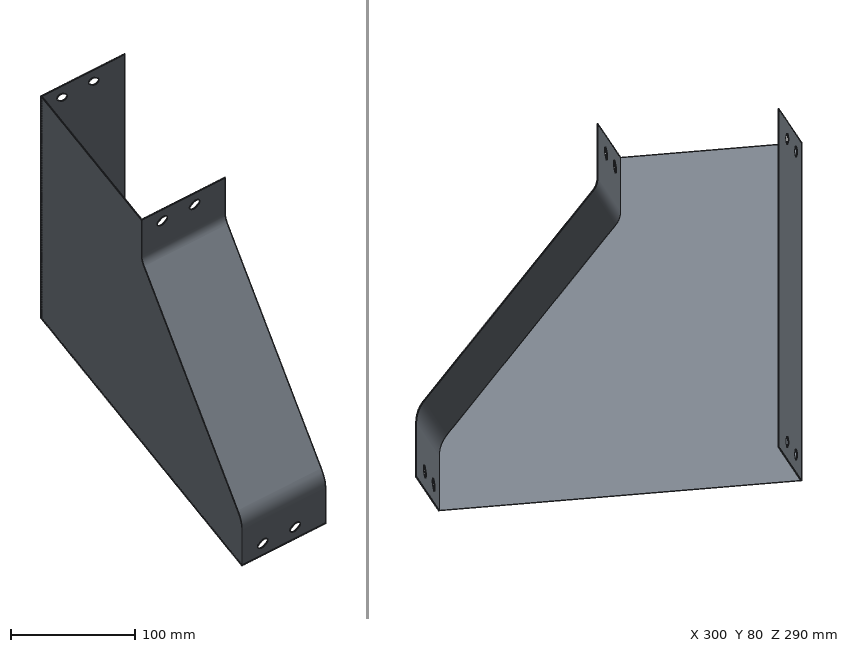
import cadquery as cq

length = 300.0
depth = 80.0
height = 290.0
thickness = 0.8

top_width = 150.3
upper_bend_z = 237.5
lower_bend_z = 57.0
upper_bend_radius = 16.0
lower_bend_radius = 28.5

slot_width = 7.5
slot_length = 10.8
slot_edge_distance = 15.0
straight_side_slot_positions = (20.0, 50.5)
stepped_side_slot_positions = (20.0, 51.0)
slot_angle = 45.0


def side_profile():
    """Plate outline seen along Y, with both bends of the stepped side rounded."""
    outline = (
        cq.Workplane("XZ")
        .polyline([
            (0, 0),
            (length, 0),
            (length, lower_bend_z),
            (top_width, upper_bend_z),
            (top_width, height),
            (0, height),
        ])
        .close()
        .extrude(-depth)
    )
    upper_bend = cq.selectors.NearestToPointSelector((top_width, depth / 2, upper_bend_z))
    lower_bend = cq.selectors.NearestToPointSelector((length, depth / 2, lower_bend_z))
    outline = outline.edges(upper_bend).fillet(upper_bend_radius)
    return outline.edges(lower_bend).fillet(lower_bend_radius)


def hollow_shell():
    """Front plate with end flanges, open at the top, bottom and back."""
    return side_profile().faces(">Y or <Z or >Z").shell(-thickness)


def slot_pair(wall_x, z, y_positions, angle):
    """Cutters for the two slots at height z in the wall whose outer face is at wall_x."""
    cutter_length = 4 * thickness
    return (
        cq.Workplane("YZ", origin=(wall_x - cutter_length / 2, 0, z))
        .pushPoints([(y, 0) for y in y_positions])
        .slot2D(slot_length, slot_width, angle)
        .extrude(cutter_length)
    )


result = hollow_shell()

for slot_z, stepped_wall_x in (
    (slot_edge_distance, length),
    (height - slot_edge_distance, top_width),
):
    result = result.cut(slot_pair(0, slot_z, straight_side_slot_positions, -slot_angle))
    result = result.cut(slot_pair(stepped_wall_x, slot_z, stepped_side_slot_positions, slot_angle))